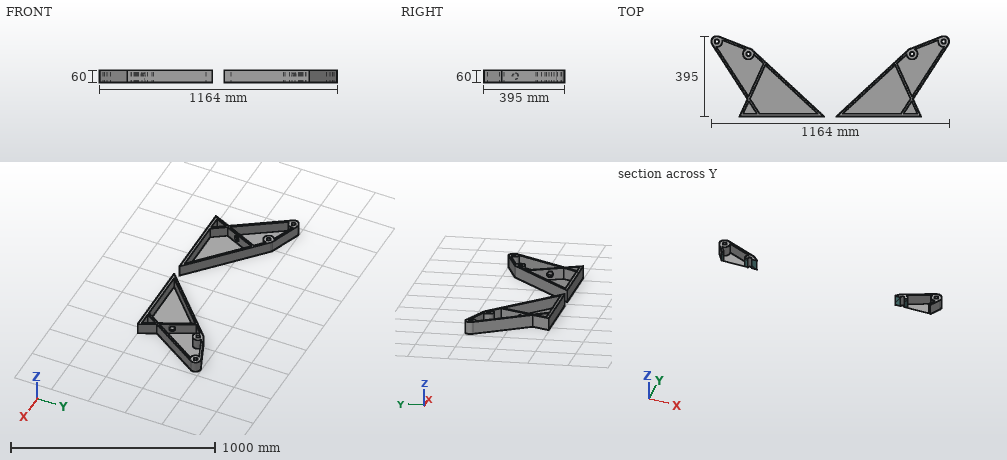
import cadquery as cq
import math

overall_length = 1164.0
overall_depth = 395.0
height = 60.0
floor_thickness = 5.0

wall = 10.0
base_wall = 15.0

boss_diameter = 54.0
boss_radius = boss_diameter / 2
boss_hole_diameter = 20.0
far_boss = (overall_length / 2 - boss_radius, overall_depth - boss_radius)
near_boss = (400.0, 307.0)

base_inner_x = 29.0
base_outer_x = 445.0
long_edge_foot_x = 349.0

cross_rib_angle = math.radians(180 - 65.5)
rib_hole_diameter = 30.0
rib_hole_distance = 170.0
rib_length = 2 * overall_depth


def direction(angle):
    return (math.cos(angle), math.sin(angle))


def move(point, angle, distance):
    along = direction(angle)
    return (point[0] + distance * along[0], point[1] + distance * along[1])


def tangent_angle(foot, center, side):
    """Angle of the line from foot that touches a boss on its left (+1) or right (-1) side."""
    dx = center[0] - foot[0]
    dy = center[1] - foot[1]
    return math.atan2(dy, dx) + side * math.asin(boss_radius / math.hypot(dx, dy))


inner_corner = (base_inner_x, 0)
outer_corner = (base_outer_x, 0)
long_edge_foot = (long_edge_foot_x, 0)
slant_angle = tangent_angle(inner_corner, near_boss, 1)
long_edge_angle = tangent_angle(long_edge_foot, far_boss, -1)
top_edge_angle = math.atan2(far_boss[1] - near_boss[1], far_boss[0] - near_boss[0])


def notch_point():
    """Crossing of the long outer edge and the outer face of the cross rib."""
    long_x, long_y = direction(long_edge_angle)
    rib_x, rib_y = direction(cross_rib_angle)
    base_gap = base_outer_x - long_edge_foot_x
    return move(long_edge_foot, long_edge_angle, base_gap * rib_y / (long_x * rib_y - long_y * rib_x))


def outline():
    left = math.pi / 2
    near_mid_angle = (slant_angle + top_edge_angle) / 2 + left
    far_mid_angle = (top_edge_angle + long_edge_angle) / 2
    return (
        cq.Workplane("XY")
        .moveTo(*inner_corner)
        .lineTo(*move(near_boss, slant_angle + left, boss_radius))
        .threePointArc(
            move(near_boss, near_mid_angle, boss_radius),
            move(near_boss, top_edge_angle + left, boss_radius),
        )
        .lineTo(*move(far_boss, top_edge_angle + left, boss_radius))
        .threePointArc(
            move(far_boss, far_mid_angle, boss_radius),
            move(far_boss, long_edge_angle - left, boss_radius),
        )
        .lineTo(*notch_point())
        .lineTo(*outer_corner)
        .close()
    )


def rib(foot, angle):
    """Upright slab, one wall thick, lying to the left of a line through foot."""
    return (
        cq.Workplane("XY")
        .rect(2 * rib_length, wall)
        .extrude(height)
        .translate((0, wall / 2, 0))
        .rotate((0, 0, 0), (0, 0, 1), math.degrees(angle))
        .translate((*foot, 0))
    )


def base_strip():
    return cq.Workplane("XY").rect(2 * overall_length, 2 * base_wall).extrude(height)


def pockets():
    """Open pockets left between the outer walls, the ribs and the bosses."""
    space = outline().offset2D(-wall).extrude(height)
    bosses = cq.Workplane("XY").pushPoints([far_boss, near_boss]).circle(boss_radius).extrude(height)
    return (
        space.cut(base_strip())
        .cut(rib(long_edge_foot, long_edge_angle))
        .cut(rib(outer_corner, cross_rib_angle))
        .cut(bosses)
        .translate((0, 0, floor_thickness))
    )


def boss_holes():
    return (
        cq.Workplane("XY")
        .pushPoints([far_boss, near_boss])
        .circle(boss_hole_diameter / 2)
        .extrude(height)
    )


def rib_hole():
    """Round hole square through the cross rib at half the pocket depth."""
    x, y = move(outer_corner, cross_rib_angle, rib_hole_distance)
    across = direction(cross_rib_angle + math.pi / 2)
    start = cq.Vector(x - wall * across[0], y - wall * across[1], (height + floor_thickness) / 2)
    axis = cq.Vector(*across, 0)
    return cq.Workplane(cq.Solid.makeCylinder(rib_hole_diameter / 2, 3 * wall, start, axis))


def bracket():
    return outline().extrude(height).cut(pockets()).cut(boss_holes()).cut(rib_hole())


right_bracket = bracket()
left_bracket = right_bracket.mirror("YZ")

result = cq.Compound.makeCompound([right_bracket.val(), left_bracket.val()])